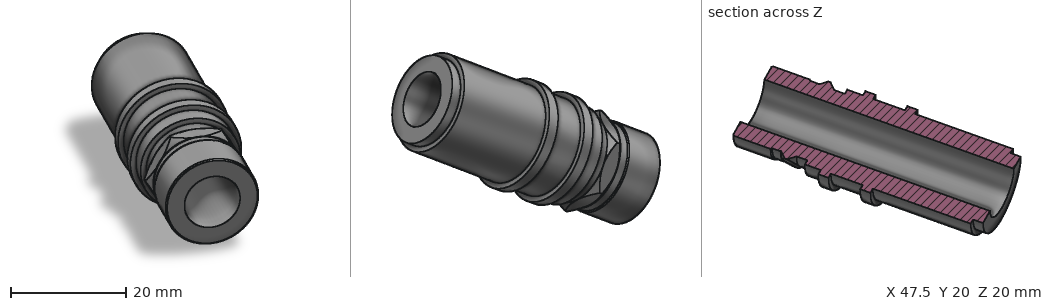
import cadquery as cq
import math

TOTAL_LENGTH = 47.5
BORE_DIAMETER = 10.0

FRONT_NECK_LENGTH = 1.9
NECK_DIAMETER = 16.0

BODY_DIAMETER = 18.0
BODY_END = 33.5

FLANGE_DIAMETER = 20.0
FLANGE_WIDTH = 2.0
FLANGE_STARTS = (20.5, 28.5)

HEX_START = 35.5
HEX_WIDTH = 3.0
HEX_ACROSS_FLATS = NECK_DIAMETER

COLLAR_DIAMETER = 16.25
CAP_DIAMETER = 16.7
CAP_START = 40.05

HEX_END = HEX_START + HEX_WIDTH
HEX_ACROSS_CORNERS = HEX_ACROSS_FLATS / math.cos(math.pi / 6)
HEX_CHAMFER = (HEX_ACROSS_CORNERS - HEX_ACROSS_FLATS) / 2
CAP_CHAMFER = (CAP_DIAMETER - COLLAR_DIAMETER) / 2


def cylinder(start, end, diameter):
    """Solid cylinder along X between two stations."""
    return cq.Workplane("YZ", origin=(start, 0, 0)).circle(diameter / 2).extrude(end - start)


def chamfered_cylinder(start, end, diameter, chamfer):
    """Cylinder along X with a 45 degree chamfer on both end edges."""
    return cylinder(start, end, diameter).edges("%CIRCLE").chamfer(chamfer)


def hex_nut():
    """Hexagon with flats facing +Z and -Z, its corners turned down by 45 degree cones."""
    prism = (
        cq.Workplane("YZ", origin=(HEX_START, 0, 0))
        .polygon(6, HEX_ACROSS_CORNERS)
        .extrude(HEX_WIDTH)
    )
    corner_cones = chamfered_cylinder(HEX_START, HEX_END, HEX_ACROSS_CORNERS, HEX_CHAMFER)
    return prism.intersect(corner_cones)


sleeve = cylinder(0, HEX_START, NECK_DIAMETER)
sleeve = sleeve.union(cylinder(FRONT_NECK_LENGTH, BODY_END, BODY_DIAMETER))
for flange_start in FLANGE_STARTS:
    sleeve = sleeve.union(cylinder(flange_start, flange_start + FLANGE_WIDTH, FLANGE_DIAMETER))

sleeve = sleeve.union(hex_nut())
sleeve = sleeve.union(cylinder(HEX_END, CAP_START, COLLAR_DIAMETER))
sleeve = sleeve.union(chamfered_cylinder(CAP_START, TOTAL_LENGTH, CAP_DIAMETER, CAP_CHAMFER))

result = sleeve.cut(cylinder(0, TOTAL_LENGTH, BORE_DIAMETER))